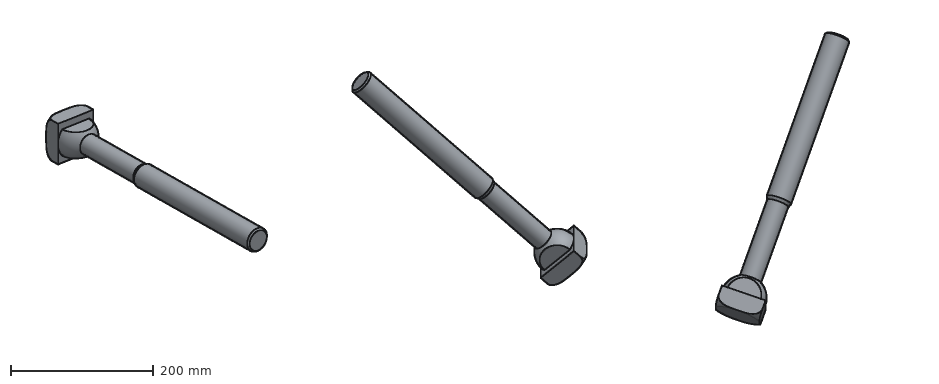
import cadquery as cq
import math

total_length = 426.0
head_width = 65.0
head_thickness = 26.5
head_corner_round = 13.5

neck_radius = head_width / 2
neck_height = 42.0

shank_diameter = 32.0
rod_diameter = 36.5
rod_start = 171.0
rod_lead_in = 5.0
rod_end_chamfer = 2.5


def make_head():
    """Square head whose outer corners are trimmed by a rounded disc."""
    block = cq.Workplane("YZ").rect(head_width, head_width).extrude(head_thickness)
    corner_radius = head_width / math.sqrt(2)
    disc = (
        cq.Workplane("YZ")
        .circle(corner_radius)
        .extrude(head_thickness)
        .faces("<X")
        .edges()
        .fillet(head_corner_round)
    )
    return block.intersect(disc)


def make_neck():
    """Half ball behind the head, cut flat on its top and bottom."""
    ball = cq.Workplane("XY").sphere(neck_radius).translate((head_thickness, 0, 0))
    slab = (
        cq.Workplane("XY")
        .box(neck_radius, head_width, neck_height, centered=(False, True, True))
        .translate((head_thickness, 0, 0))
    )
    return ball.intersect(slab)


def make_stem():
    """Shank and thicker rod, revolved about X from a half profile."""
    shank_radius = shank_diameter / 2
    rod_radius = rod_diameter / 2
    return (
        cq.Workplane("XY")
        .moveTo(head_thickness, 0)
        .lineTo(head_thickness, shank_radius)
        .lineTo(rod_start, shank_radius)
        .lineTo(rod_start + rod_lead_in, rod_radius)
        .lineTo(total_length - rod_end_chamfer, rod_radius)
        .lineTo(total_length, rod_radius - rod_end_chamfer)
        .lineTo(total_length, 0)
        .close()
        .revolve(360, (0, 0, 0), (1, 0, 0))
    )


result = make_head().union(make_neck()).union(make_stem())